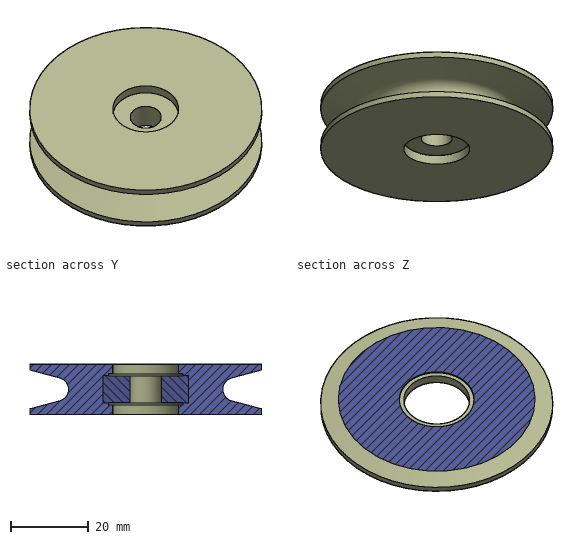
import cadquery as cq
import math

wheel_diameter = 60.0
wheel_width = 13.0
groove_bottom_diameter = 40.0
groove_arc_radius = 3.0
flank_angle = math.radians(15.0)

bearing_diameter = 22.0
bearing_bore_diameter = 8.0
bearing_depth = 3.0
bearing_width = wheel_width - 2 * bearing_depth

lip_opening_diameter = 17.0
lip_thickness = 2.5
relief_diameter = 19.2
relief_width = wheel_width - 2 * lip_thickness


def make_groove():
    """Ring-shaped cutter: straight flanks tangent to a round groove bottom."""
    wheel_radius = wheel_diameter / 2
    bottom_radius = groove_bottom_diameter / 2
    arc_center = bottom_radius + groove_arc_radius
    tangent_radius = arc_center - groove_arc_radius * math.sin(flank_angle)
    tangent_height = groove_arc_radius * math.cos(flank_angle)
    rim_height = tangent_height + (wheel_radius - tangent_radius) * math.tan(flank_angle)
    return (
        cq.Workplane("XZ")
        .moveTo(wheel_radius, rim_height)
        .lineTo(tangent_radius, tangent_height)
        .threePointArc((bottom_radius, 0), (tangent_radius, -tangent_height))
        .lineTo(wheel_radius, -rim_height)
        .close()
        .revolve(360, (0, 0, 0), (0, 1, 0))
    )


def make_disc(diameter, width):
    """Solid disc about the Z axis, centred on the origin."""
    return cq.Workplane("XY").cylinder(width, diameter / 2)


def make_pulley():
    """Grooved wheel with a stepped, undercut bore around the bearing."""
    return (
        make_disc(wheel_diameter, wheel_width)
        .cut(make_groove())
        .cut(make_disc(lip_opening_diameter, wheel_width))
        .cut(make_disc(relief_diameter, relief_width))
        .cut(make_disc(bearing_diameter, bearing_width))
    )


def make_bearing():
    """Bored ring that fills the seat between the lips."""
    return make_disc(bearing_diameter, bearing_width).cut(
        make_disc(bearing_bore_diameter, bearing_width)
    )


pulley = make_pulley()
bearing = make_bearing()

result = cq.Compound.makeCompound([pulley.val(), bearing.val()])